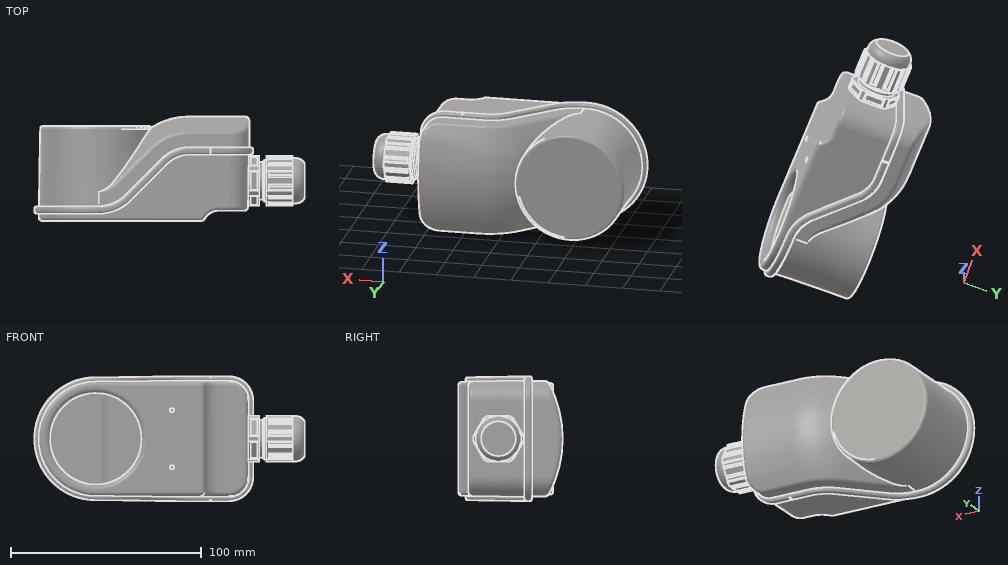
import cadquery as cq
import math


draft = 0.9
plan_radius = 30.0
plan_right = 79.7
plan_corner = 10.1
front_rim_fillet = 2.1

parting_low = 5.8
parting_high = 36.7
parting_start = 1.4
concave_radius = 21.8
convex_radius = 18.2
ramp_angle = math.radians(45)
arc_run = (concave_radius + convex_radius) * math.tan(ramp_angle / 2)
parting_end = parting_start + (parting_high - parting_low) / math.tan(ramp_angle) + arc_run
tolerance = 0.07
beyond = 42.5

bead_height = 4.0
bead_overhang = 2.3
bead_fillet = 1.4
notch_x = 60.1
notch_width = 0.4
notch_depth = 0.5

cup_height = 50.0
cup_fillet = 1.7
housing_depth = 54.9
crown_radius = 61.0
crown_facing = 0.5
shell_half_width = 30.4
shell_right = 80.6
shell_fillet = 2.5

step_depth = 5.4
step_radius = 8.5
step_end = 64.4
recess_radius = 24.0
recess_lip = 3.0
recess_depth = 4.7
ramp_start = 2.7
ramp_end = 6.1
ramp_drop = 1.0
pin_hole_diameter = 2.3
pin_hole_depth = 1.4
pin_hole_x = 39.9
pin_hole_spacing = 30.0

gland_y = 21.1
gland_start = 80.0
nut_end = 85.7
collar_cone_start = 87.5
collar_start = 88.4
cap_start = 89.4
cap_end = 103.1
dome_start = 104.7
overall_length = 141.9
bead_widest_y = parting_low + bead_height / 2 - bead_fillet
bead_reach = plan_radius + bead_overhang + bead_widest_y * math.tan(math.radians(draft))
gland_end = overall_length - bead_reach
hex_sides = 6
hex_angle = 360 / hex_sides
hex_flats = 24.1
hex_corners = 26.4
neck_diameter = 20.0
collar_diameter = 21.8
dome_diameter = 24.0
dome_face_diameter = 18.2
pocket_start = 81.1
pocket_length = 3.4
pocket_width = 9.5
pocket_depth = 0.4
grip_inset = 1.3
grip_start = cap_start + grip_inset
grip_depth = 0.7
grip_grooves = ((2.4, 1.0), (4.0, 1.5))


def plan(overhang=0.0):
    """Plan of the housing in XZ, round at the left and with rounded corners at the right."""
    radius = plan_radius + overhang
    right = plan_right + overhang
    corner = plan_corner + overhang
    diagonal = corner * math.sqrt(0.5)
    return (
        cq.Workplane("XZ")
        .moveTo(0, radius)
        .lineTo(right - corner, radius)
        .threePointArc((right - corner + diagonal, radius - corner + diagonal), (right, radius - corner))
        .lineTo(right, corner - radius)
        .threePointArc((right - corner + diagonal, corner - radius - diagonal), (right - corner, -radius))
        .lineTo(0, -radius)
        .threePointArc((-radius, 0), (0, radius))
        .close()
    )


def drafted(outline, depth, taper):
    """Extrude an XZ outline towards +Y."""
    return outline.extrude(-depth, taper=taper)


def parting_path(sketch, offset=0.0, backwards=False):
    """Add the curved part of the parting line, moved sideways by offset towards +Y."""
    low_arc = concave_radius - offset
    high_arc = convex_radius + offset
    low_centre = parting_low + concave_radius
    high_centre = parting_high - convex_radius

    def low_point(angle):
        return parting_start + low_arc * math.sin(angle), low_centre - low_arc * math.cos(angle)

    def high_point(angle):
        return parting_end - high_arc * math.sin(angle), high_centre + high_arc * math.cos(angle)

    half = ramp_angle / 2
    points = [low_point(0), low_point(half), low_point(ramp_angle)]
    points += [high_point(ramp_angle), high_point(half), high_point(0)]
    if backwards:
        points.reverse()
    start, first_middle, first_end, second_start, second_middle, end = points
    return (
        sketch.lineTo(*start)
        .threePointArc(first_middle, first_end)
        .lineTo(*second_start)
        .threePointArc(second_middle, end)
    )


def through_width(outline):
    """Extrude an XY outline both ways, past the sides of the housing."""
    return outline.extrude(beyond, both=True)


def wall_edges(shape, lowest, highest):
    """Edges between lowest and highest Y that run around the walls, without lines across the width."""
    edges = []
    for edge in shape.edges().vals():
        box = edge.BoundingBox()
        within = lowest - tolerance < box.ymin and box.ymax < highest + tolerance
        along_depth = box.xlen + box.zlen < 2 * math.tan(math.radians(draft)) * box.ylen + tolerance
        across_width = box.zmin < 0 < box.zmax and box.xlen < tolerance and box.xmax < plan_right
        if within and not along_depth and not across_width:
            edges.append(edge)
    return edges


def front_body():
    far_right = plan_right + beyond
    step_start = step_end - math.sqrt(step_radius**2 - (step_radius - step_depth) ** 2)
    half_turn = math.acos((step_radius - step_depth) / step_radius) / 2
    step_middle = (
        step_end - step_radius * math.sin(half_turn),
        step_depth - step_radius * (1 - math.cos(half_turn)),
    )
    side = (
        cq.Workplane("XY")
        .moveTo(-beyond, 0)
        .lineTo(step_start, 0)
        .threePointArc(step_middle, (step_end, step_depth))
        .lineTo(far_right, step_depth)
        .lineTo(far_right, parting_high)
    )
    side = parting_path(side, backwards=True).lineTo(-beyond, parting_low).close()
    body = drafted(plan(), housing_depth, -draft).intersect(through_width(side))
    step_edge = body.edges(cq.selectors.NearestToPointSelector((step_start, 0, 0)))
    rounded = wall_edges(body, 0, step_depth) + step_edge.vals()
    return body.newObject(rounded).fillet(front_rim_fillet)


def parting_bead():
    half = bead_height / 2
    far_right = plan_right + beyond
    side = cq.Workplane("XY").moveTo(-beyond, parting_low - half)
    side = parting_path(side, -half).lineTo(far_right, parting_high - half)
    side = side.lineTo(far_right, parting_high + half)
    side = parting_path(side, half, backwards=True).lineTo(-beyond, parting_low + half).close()
    bead = drafted(plan(bead_overhang), housing_depth, -draft).intersect(through_width(side))
    bead = bead.newObject(wall_edges(bead, 0, housing_depth)).fillet(bead_fillet)
    bead_half_width = bead.val().BoundingBox().zlen / 2
    for direction in (-1, 1):
        notch = cq.Workplane("XY").box(notch_width, 2 * bead_height, 2 * notch_depth)
        bead = bead.cut(notch.translate((notch_x, parting_high, direction * bead_half_width)))
    return bead


def cup():
    outline = cq.Workplane("XZ", origin=(0, parting_low, 0)).circle(plan_radius)
    body = drafted(outline, cup_height - parting_low, draft)
    return body.faces(">Y").edges().fillet(cup_fillet)


def rear_shell():
    """Shell between the parting line and a crown arched across Z that follows the parting line."""
    corner_x = shell_right - plan_corner
    outline = (
        cq.Workplane("XZ")
        .moveTo(parting_start, plan_radius - parting_low * math.tan(math.radians(draft)))
        .lineTo(parting_end, shell_half_width)
        .lineTo(corner_x, shell_half_width)
        .radiusArc((shell_right, shell_half_width - plan_corner), plan_corner)
        .lineTo(shell_right, 0)
        .lineTo(parting_start, 0)
        .close()
    )
    half_block = drafted(outline, housing_depth, 0)
    block = half_block.union(half_block.mirror("XY"))

    crown = housing_depth - parting_high
    tool_half_width = crown_radius / 2
    edge_height = crown - crown_radius + math.sqrt(crown_radius**2 - tool_half_width**2)
    path = parting_path(cq.Workplane("XY").moveTo(-beyond, parting_low))
    path = path.lineTo(plan_right + beyond, parting_high)
    arch = (
        cq.Workplane("YZ", origin=(-beyond, parting_low, 0))
        .moveTo(0, -tool_half_width)
        .lineTo(edge_height, -tool_half_width)
        .threePointArc((crown, 0), (edge_height, tool_half_width))
        .lineTo(0, tool_half_width)
        .close()
        .sweep(path)
    )
    shell = block.intersect(arch)
    crown_faces = [face for face in shell.faces().vals() if face.normalAt().y > crown_facing]
    crown_rim = wall_edges(shell.newObject(crown_faces), 0, housing_depth)
    return shell.newObject(crown_rim).fillet(shell_fillet)


def recess():
    """Round window with a rounded lip; its floor has a ramp down to a deeper right part."""
    section = (
        cq.Workplane("XY")
        .moveTo(0, 0)
        .lineTo(recess_radius + recess_lip, 0)
        .radiusArc((recess_radius, recess_lip), recess_lip)
        .lineTo(recess_radius, recess_depth + ramp_drop)
        .lineTo(0, recess_depth + ramp_drop)
        .close()
    )
    window = section.revolve(360, (0, 0, 0), (0, 1, 0))
    raised_floor = through_width(
        cq.Workplane("XY")
        .moveTo(-beyond, recess_depth)
        .lineTo(ramp_start, recess_depth)
        .lineTo(ramp_end, recess_depth + ramp_drop)
        .lineTo(-beyond, recess_depth + ramp_drop)
        .close()
    )
    return window.cut(raised_floor)


def pin_holes():
    half = pin_hole_spacing / 2
    return (
        cq.Workplane("XZ")
        .pushPoints([(pin_hole_x, -half), (pin_hole_x, half)])
        .circle(pin_hole_diameter / 2)
        .extrude(-pin_hole_depth)
    )


def hexagon(start, end):
    """Hexagonal bar along X with turned corners, two flats facing +Z and -Z."""
    plane = cq.Workplane("YZ", origin=(start, gland_y, 0))
    bar = plane.polygon(hex_sides, hex_flats / math.cos(math.radians(hex_angle / 2))).extrude(end - start)
    return bar.intersect(plane.circle(hex_corners / 2).extrude(end - start))


def cut_in_every_flat(body, start, end, width, depth, distance=0.0):
    """Cut a straight pocket from start to end in X, at a distance from the middle of each flat."""
    cutter = cq.Workplane("XY").box(end - start, width, 2 * depth)
    cutter = cutter.translate(((start + end) / 2, gland_y + distance, hex_flats / 2))
    for index in range(hex_sides):
        body = body.cut(cutter.rotate((0, gland_y, 0), (1, gland_y, 0), hex_angle * index))
    return body


def gland_nut():
    return cut_in_every_flat(
        hexagon(gland_start, nut_end), pocket_start, pocket_start + pocket_length, pocket_width, pocket_depth
    )


def gland_cap():
    body = hexagon(cap_start, cap_end)
    for distance, width in grip_grooves:
        for side in (-1, 1):
            body = cut_in_every_flat(body, grip_start, cap_end, width, grip_depth, side * distance)
    return body


def gland_neck():
    """Turned neck that widens into a collar under the cap."""
    return (
        cq.Workplane("XY", origin=(0, gland_y, 0))
        .moveTo(gland_start, 0)
        .lineTo(gland_start, neck_diameter / 2)
        .lineTo(collar_cone_start, neck_diameter / 2)
        .lineTo(collar_start, collar_diameter / 2)
        .lineTo(cap_end, collar_diameter / 2)
        .lineTo(cap_end, 0)
        .close()
        .revolve(360, (0, 0, 0), (1, 0, 0))
    )


def gland_dome():
    """Cylinder ending in an arc that starts tangent to it and meets the flat end face."""
    return (
        cq.Workplane("XY", origin=(0, gland_y, 0))
        .moveTo(cap_end, 0)
        .lineTo(cap_end, dome_diameter / 2)
        .lineTo(dome_start, dome_diameter / 2)
        .tangentArcPoint((gland_end, dome_face_diameter / 2), relative=False)
        .lineTo(gland_end, 0)
        .close()
        .revolve(360, (0, 0, 0), (1, 0, 0))
    )


def build_gland():
    return gland_nut().union(gland_neck()).union(gland_cap()).union(gland_dome())


def build_housing():
    body = front_body().union(parting_bead()).union(cup()).union(rear_shell())
    nut_recess = hexagon(gland_start, nut_end)
    return body.cut(recess()).cut(pin_holes()).cut(nut_recess)


housing = build_housing().solids()
gland = build_gland().solids()
result = cq.Compound.makeCompound([housing.val(), gland.val()])